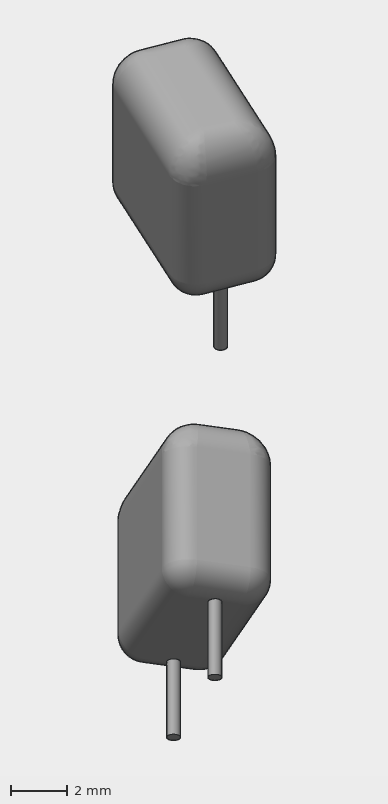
import cadquery as cq

body_length = 7.2
body_width = 4.0
body_height = 7.0
side_radius = 1.0
top_radius = 1.5

lead_diameter = 0.5
lead_length = 3.0
lead_pitch = 5.0
lead_embed = 1.0


def make_body():
    """Rounded block standing on the XY plane."""
    block = cq.Workplane("XY").box(
        body_length, body_width, body_height, centered=(True, True, False)
    )
    block = block.faces(">Z").edges().fillet(top_radius)
    return block.edges("|Z or <Z").fillet(side_radius)


def make_leads():
    """Two round leads running down from inside the body."""
    return (
        cq.Workplane("XY")
        .workplane(offset=-lead_length)
        .pushPoints([(-lead_pitch / 2, 0), (lead_pitch / 2, 0)])
        .circle(lead_diameter / 2)
        .extrude(lead_length + lead_embed)
    )


result = make_body().union(make_leads())